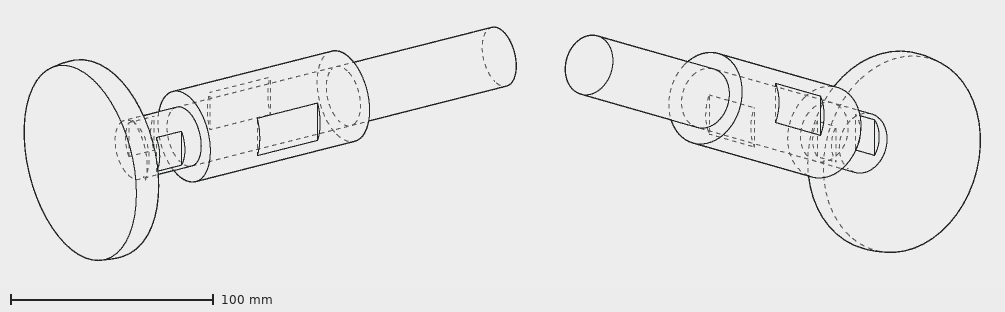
import cadquery as cq
import math

TOTAL_LENGTH = 250.0

ROD_DIAMETER = 30.0
ROD_FLATS_WIDTH = 24.0
ROD_FLATS_START = 37.2
ROD_FLATS_LENGTH = 15.0

FOOT_RADIUS = 50.0
SOLE_RADIUS = 49.2
RIM_START = 6.2
RIM_END = 9.2
SHOULDER_RADIUS = 44.0
SHOULDER_HEIGHT = 16.0
NECK_RADIUS = 22.0
NECK_HEIGHT = 25.0
FOOT_HEIGHT = 31.0

SLEEVE_DIAMETER = 46.0
SLEEVE_START = 62.0
SLEEVE_LENGTH = 95.0
SLEEVE_FLATS_WIDTH = 41.5
SLEEVE_FLATS_LENGTH = 36.0


def cylinder(diameter, start, length):
    """Cylinder about the Y axis, running from start towards +Y."""
    plane = cq.Plane(origin=(0, start, 0), xDir=(1, 0, 0), normal=(0, 1, 0))
    return cq.Workplane(plane).circle(diameter / 2).extrude(length)


def cut_flats(body, diameter, width, start, length):
    """Cut two parallel wrench flats facing -X and +X."""
    for side in (-1, 1):
        cutter = cq.Workplane("XY").box(diameter, length, diameter)
        body = body.cut(cutter.translate((side * (width + diameter) / 2, start + length / 2, 0)))
    return body


def make_foot():
    """Disc with a rounded shoulder and a conical top that narrows to the rod."""
    rise = SHOULDER_HEIGHT - RIM_END
    inset = FOOT_RADIUS - SHOULDER_RADIUS
    arc_radius = (rise**2 + inset**2) / (2 * inset)
    half_angle = math.atan2(rise, arc_radius - inset) / 2
    arc_middle = (
        FOOT_RADIUS - arc_radius * (1 - math.cos(half_angle)),
        RIM_END + arc_radius * math.sin(half_angle),
    )
    profile = (
        cq.Workplane("XY")
        .lineTo(SOLE_RADIUS, 0)
        .lineTo(FOOT_RADIUS, RIM_START)
        .lineTo(FOOT_RADIUS, RIM_END)
        .threePointArc(arc_middle, (SHOULDER_RADIUS, SHOULDER_HEIGHT))
        .lineTo(NECK_RADIUS, NECK_HEIGHT)
        .lineTo(ROD_DIAMETER / 2, FOOT_HEIGHT)
        .lineTo(0, FOOT_HEIGHT)
        .close()
    )
    return profile.revolve(360, (0, 0, 0), (0, 1, 0))


def make_spindle():
    """Foot and rod in one piece, with wrench flats just above the foot."""
    rod = cylinder(ROD_DIAMETER, FOOT_HEIGHT, TOTAL_LENGTH - FOOT_HEIGHT)
    rod = cut_flats(rod, ROD_DIAMETER, ROD_FLATS_WIDTH, ROD_FLATS_START, ROD_FLATS_LENGTH)
    return make_foot().union(rod)


def make_sleeve():
    """Sleeve bored to the rod diameter, with wrench flats at mid-length."""
    flats_start = SLEEVE_START + (SLEEVE_LENGTH - SLEEVE_FLATS_LENGTH) / 2
    outer = cylinder(SLEEVE_DIAMETER, SLEEVE_START, SLEEVE_LENGTH)
    bore = cylinder(ROD_DIAMETER, SLEEVE_START, SLEEVE_LENGTH)
    return cut_flats(
        outer.cut(bore), SLEEVE_DIAMETER, SLEEVE_FLATS_WIDTH, flats_start, SLEEVE_FLATS_LENGTH
    )


spindle = make_spindle()
sleeve = make_sleeve()
result = cq.Compound.makeCompound([spindle.val(), sleeve.val()])